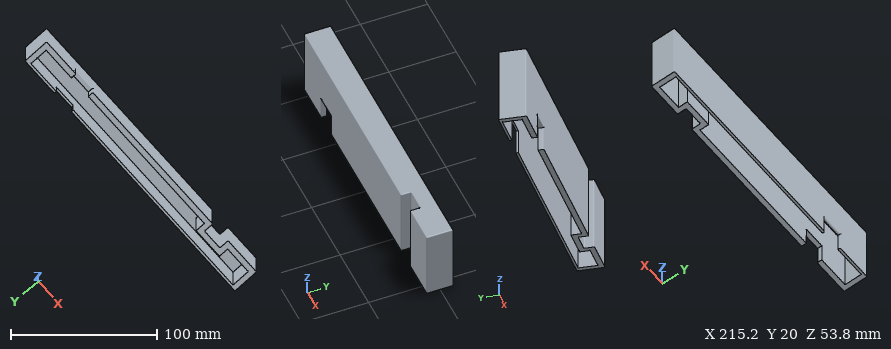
import cadquery as cq

length = 215.2
thickness = 20.0
height = 53.8
edge_radius = 0.9
wall = 4.0
back_wall = 2.0

notch_start = 30.1
notch_width = 17.2
notch_height = 17.2

slot_start = 170.2
slot_width = 15.7
slot_depth = 7.5
slot_corner_radius = 0.9


def corner_box(size_x, size_y, size_z):
    """Box with its lowest corner at the origin."""
    return cq.Workplane("XY").box(size_x, size_y, size_z, centered=False)


def make_slot():
    """Cutter for the upright slot, with rounded corners along its floor."""
    slot = corner_box(slot_width, slot_depth, height)
    slot = slot.edges("|Z and >Y").fillet(slot_corner_radius)
    return slot.translate((slot_start, 0, 0))


def make_notch():
    """Cutter for the square-cornered bottom notch."""
    return corner_box(notch_width, thickness, notch_height).translate((notch_start, 0, 0))


def make_cavity():
    """Cutter for the hollow inside, keeping a full wall around the slot."""
    cavity = corner_box(length - 2 * wall, thickness - wall - back_wall, height - wall)
    cavity = cavity.translate((wall, wall, 0))
    slot_jacket = corner_box(slot_width + 2 * wall, slot_depth + wall, height)
    return cavity.cut(slot_jacket.translate((slot_start - wall, 0, 0)))


body = corner_box(length, thickness, height).cut(make_slot())

outer_corners = body.edges("|Z and (<X or >X)")
slot_mouth = body.edges(
    cq.selectors.BoxSelector(
        (slot_start - edge_radius, -edge_radius, 0),
        (slot_start + slot_width + edge_radius, edge_radius, height),
    )
).edges("|Z")
body = body.newObject(outer_corners.vals() + slot_mouth.vals()).fillet(edge_radius)
body = body.faces(">Z").edges().fillet(edge_radius)

body = body.cut(make_cavity()).cut(make_notch())


def notch_rim(face_y):
    """Edges bounding the notch on the upright face at the given Y."""
    rim_box = cq.selectors.BoxSelector(
        (notch_start - edge_radius, face_y - edge_radius, 0),
        (notch_start + notch_width + edge_radius, face_y + edge_radius, notch_height + edge_radius),
    )
    return body.edges(rim_box).edges("not |Y").vals()


result = body.newObject(notch_rim(0) + notch_rim(thickness)).fillet(edge_radius)